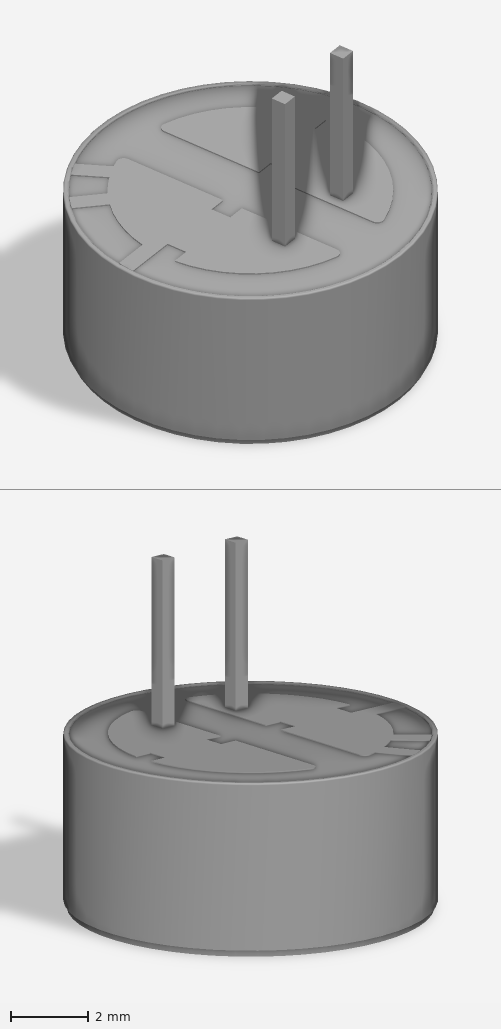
import cadquery as cq
import math

can_radius = 4.85
total_height = 9.2
body_height = 4.685
plug_radius = 4.76
plug_step = 0.18
rim_inner_radius = 4.69
rim_rounding = 0.05
board_recess = 0.06

pad_thickness = 0.04
pad_radius = 3.7
pad_straight_edge = 0.78
pad_corner_radius = 0.19
notch_width = 0.6
notch_depth = 0.5

track_width = 0.49
track_inner_end = 2.91
notch_track_offset = -(notch_width + track_width) / 2
tracks = [(210.0, -0.4), (226.5, -0.25), (270.0, notch_track_offset)]

pin_width = 0.43
pin_x = 2.0
pin_pitch = 2.52

board_z = body_height - board_recess


def make_body():
    plug = cq.Workplane("XY").circle(plug_radius).extrude(plug_step)
    can = (
        cq.Workplane("XY")
        .workplane(offset=plug_step)
        .circle(can_radius)
        .extrude(body_height - plug_step)
    )
    recess = cq.Workplane("XY").workplane(offset=board_z).circle(rim_inner_radius).extrude(board_recess)
    shell = plug.union(can).cut(recess)
    return shell.faces(">Z").edges().fillet(rim_rounding)


def make_notch(y_start, y_end):
    return (
        cq.Workplane("XY")
        .workplane(offset=board_z)
        .center(0, (y_start + y_end) / 2)
        .rect(notch_width, y_end - y_start)
        .extrude(pad_thickness)
    )


def make_upper_pad():
    half_chord = math.sqrt(pad_radius**2 - pad_straight_edge**2)
    segment = (
        cq.Workplane("XY")
        .workplane(offset=board_z)
        .moveTo(-half_chord, pad_straight_edge)
        .threePointArc((0, pad_radius), (half_chord, pad_straight_edge))
        .close()
        .extrude(pad_thickness)
        .edges("|Z")
        .fillet(pad_corner_radius)
    )
    inner_notch = make_notch(pad_straight_edge, pad_straight_edge + notch_depth)
    outer_notch = make_notch(pad_radius - notch_depth, pad_radius)
    return segment.cut(inner_notch).cut(outer_notch)


def make_track(direction, offset):
    length = can_radius - track_inner_end
    strip = (
        cq.Workplane("XY")
        .workplane(offset=board_z)
        .center(track_inner_end + length / 2, offset)
        .rect(length, track_width)
        .extrude(pad_thickness)
        .rotate((0, 0, 0), (0, 0, 1), direction)
    )
    board = cq.Workplane("XY").workplane(offset=board_z).circle(rim_inner_radius).extrude(pad_thickness)
    return strip.intersect(board)


def make_pin(y):
    return (
        cq.Workplane("XY")
        .workplane(offset=board_z)
        .center(pin_x, y)
        .rect(pin_width, pin_width)
        .extrude(total_height - board_z)
    )


upper_pad = make_upper_pad()
lower_pad = upper_pad.mirror("XZ")

result = make_body().union(upper_pad).union(lower_pad)
for direction, offset in tracks:
    result = result.union(make_track(direction, offset))
for side in (-1, 1):
    result = result.union(make_pin(side * pin_pitch / 2))